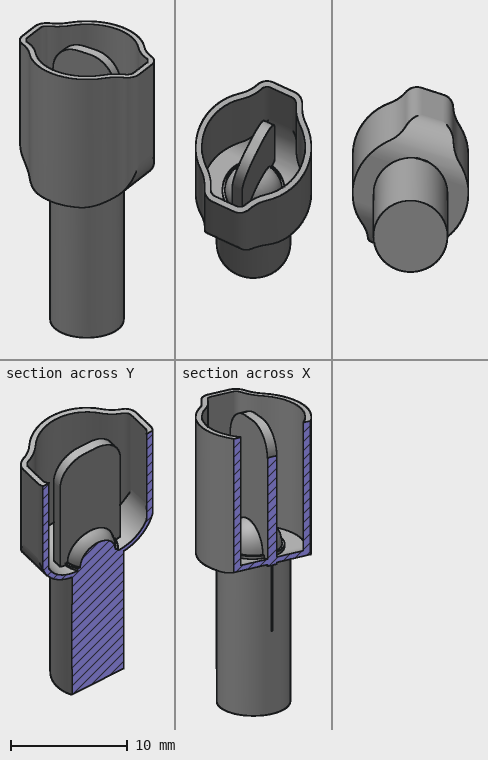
import cadquery as cq
import math

total_height = 26.67
cup_bottom = 13.95

body_radius = 4.95
lobe_reach = 5.97
lobe_flat_half = 1.01
corner_radius = 1.2
neck_radius = 3.33
wall = 0.53
bottom_round = 3.85

stem_radius = 3.17
hub_radius = 2.67
hub_height = 0.27
dome_radius = 2.45
blade_thickness = 0.93
blade_land = 1.23


def cup_outline(inset):
    """Closed outline at Z = 0, moved inward by inset, made of tangent arcs and two flats."""
    body = body_radius - inset
    corner = corner_radius - inset
    neck = neck_radius + inset
    reach = lobe_reach - inset

    corner_x = reach - corner
    corner_y = lobe_flat_half
    corner_distance = math.hypot(corner_x, corner_y)
    to_body = body + neck
    to_corner = corner + neck
    cosine = (corner_distance**2 + to_body**2 - to_corner**2) / (2 * corner_distance * to_body)
    neck_angle = math.atan2(corner_y, corner_x) + math.acos(cosine)
    neck_x = to_body * math.cos(neck_angle)
    neck_y = to_body * math.sin(neck_angle)

    join_angle = math.atan2(neck_y - corner_y, neck_x - corner_x)
    body_end = (body * math.cos(neck_angle), body * math.sin(neck_angle))
    corner_end = (
        corner_x + corner * math.cos(join_angle),
        corner_y + corner * math.sin(join_angle),
    )
    corner_middle = (
        corner_x + corner * math.cos(join_angle / 2),
        corner_y + corner * math.sin(join_angle / 2),
    )
    neck_middle_angle = (neck_angle + join_angle) / 2 + math.pi
    neck_middle = (
        neck_x + neck * math.cos(neck_middle_angle),
        neck_y + neck * math.sin(neck_middle_angle),
    )

    def place(point, side_x, side_y):
        return (point[0] * side_x, point[1] * side_y)

    outline = cq.Workplane("XY").moveTo(reach, lobe_flat_half)
    for side in (1, -1):
        outline = (
            outline.threePointArc(place(corner_middle, side, side), place(corner_end, side, side))
            .threePointArc(place(neck_middle, side, side), place(body_end, side, side))
            .threePointArc((0, body * side), place(body_end, -side, side))
            .threePointArc(place(neck_middle, -side, side), place(corner_end, -side, side))
            .threePointArc(place(corner_middle, -side, side), (-reach * side, lobe_flat_half * side))
            .lineTo(-reach * side, -lobe_flat_half * side)
        )
    return outline.close()


def cup_volume(inset):
    """Outline prism whose bottom is rounded along Y, on both X sides."""
    height = total_height - cup_bottom - inset
    prism = cup_outline(inset).extrude(height).translate((0, 0, cup_bottom + inset))
    envelope = (
        cq.Workplane("XY")
        .box(2 * (lobe_reach - inset), 2 * body_radius, height, centered=(True, True, False))
        .edges("|Y and <Z")
        .fillet(bottom_round - inset)
        .translate((0, 0, cup_bottom + inset))
    )
    return prism.intersect(envelope)


def make_hub():
    """Low round hub with a half-sphere on top, standing on the cup floor."""
    floor = cup_bottom + wall
    hub_top = floor + hub_height
    hub = cq.Workplane("XY").workplane(offset=cup_bottom).circle(hub_radius).extrude(wall + hub_height)
    dome = cq.Workplane("XY").sphere(dome_radius).translate((0, 0, hub_top))
    return hub.union(dome)


def make_blade():
    """Upright plate across X with large rounds at its top corners."""
    base = cup_bottom
    corner_round = stem_radius - blade_land / 2
    return (
        cq.Workplane("XY")
        .box(2 * stem_radius, blade_thickness, total_height - base, centered=(True, True, False))
        .edges("|Y and >Z")
        .fillet(corner_round)
        .translate((0, 0, base))
    )


cup = cup_volume(0).cut(cup_volume(wall))
stem = cq.Workplane("XY").circle(stem_radius).extrude(cup_bottom + wall).cut(cup_volume(wall))
result = cup.union(stem).union(make_hub()).union(make_blade())